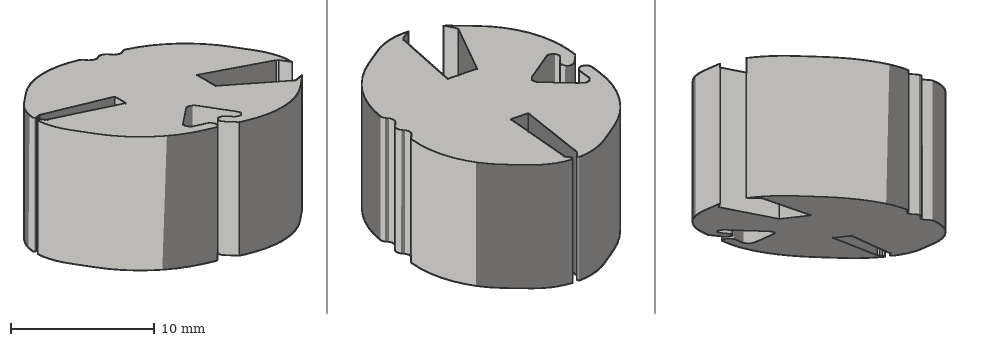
import cadquery as cq
import math

length = 20.98
width = 16.0
height = 10.0

side_radius = 8.25
side_center_y = 1.72
end_radius = 5.25

groove_pitch = 2.0
groove_depth = 0.493
groove_end_y = 1.93

wide_slot_floor_y = 3.55
wide_slot_floor_left = -1.22
wide_slot_floor_right = 1.25
wide_slot_left_lip = [(-0.71, 9.73), (-0.63, 9.9), (0.23, 10.5)]
wide_slot_right_lip = [(2.65, 9.8), (3.13, 9.08), (3.27, 8.8)]

narrow_slot_floor_y = -3.5
narrow_slot_floor_half = 0.73
narrow_slot_neck = [(0.52, -9.8), (0.45, -9.97), (0.3, -10.11), (0.2, -10.28)]
narrow_slot_mouth_round = 0.13

round_radius = 0.5
pocket_corner_x = width / 2 - 3 * round_radius
pocket_corner_y = 1.8
pocket_apex_radius = 0.57
pocket_wall_angle = 36.0
upper_lip_x = 6.95
upper_lip_y = 0.75
lower_lip_x = width / 2 - round_radius
lower_lip_y = -0.78

clearance = 1.05


def on_circle(center, radius, angle):
    """Point on a circle at an angle in degrees."""
    turn = math.radians(angle)
    return (center[0] + radius * math.cos(turn), center[1] + radius * math.sin(turn))


def add_arc(wire, center, radius, start, end):
    """Follow an arc from the current point, which lies at its start angle."""
    middle = on_circle(center, radius, (start + end) / 2)
    return wire.threePointArc(middle, on_circle(center, radius, end))


def add_line_and_arc(wire, center, radius, start, end):
    """Draw a line to the start of an arc, then follow the arc."""
    wire = wire.lineTo(*on_circle(center, radius, start))
    return add_arc(wire, center, radius, start, end)


def make_body():
    half_width = width / 2
    side_x = half_width - side_radius
    end_y = length / 2 - end_radius

    rise = end_y - side_center_y
    center_line = math.degrees(math.atan2(rise, -side_x))
    spread = math.acos((side_radius - end_radius) / math.hypot(side_x, rise))
    normal = center_line - math.degrees(spread)
    groove_angle = math.degrees(math.asin((groove_end_y - side_center_y) / side_radius))

    lower_left = (-side_x, -side_center_y)
    upper_left = (-side_x, side_center_y)
    lower_right = (side_x, -side_center_y)
    upper_right = (side_x, side_center_y)

    start = on_circle(lower_left, side_radius, 180 + groove_angle)
    wire = cq.Workplane("XY").moveTo(*start)
    wire = add_arc(wire, lower_left, side_radius, 180 + groove_angle, 180 + normal)
    wire = add_line_and_arc(wire, (0, -end_y), end_radius, 180 + normal, 360 - normal)
    wire = add_line_and_arc(wire, lower_right, side_radius, -normal, 0)
    wire = add_line_and_arc(wire, upper_right, side_radius, 0, normal)
    wire = add_line_and_arc(wire, (0, end_y), end_radius, normal, 180 - normal)
    wire = add_line_and_arc(wire, upper_left, side_radius, 180 - normal, 180 - groove_angle)

    quarter = groove_pitch / 4
    mid_x = -half_width + groove_depth / 2
    bottom_x = -half_width + groove_depth
    blend_radius = (quarter**2 + (groove_depth / 2) ** 2) / groove_depth
    wire = wire.radiusArc((mid_x, 3 * quarter), -blend_radius)
    wire = wire.threePointArc((bottom_x, 2 * quarter), (mid_x, quarter))
    wire = wire.threePointArc((-half_width, 0), (mid_x, -quarter))
    wire = wire.threePointArc((bottom_x, -2 * quarter), (mid_x, -3 * quarter))
    wire = wire.radiusArc(start, -blend_radius)
    return wire.close().extrude(height)


def make_wide_slot():
    outside_y = length / 2 + clearance
    points = [(wide_slot_floor_left, wide_slot_floor_y)]
    points += wide_slot_left_lip
    points += [(wide_slot_left_lip[-1][0], outside_y), (wide_slot_right_lip[0][0], outside_y)]
    points += wide_slot_right_lip
    points += [(wide_slot_floor_right, wide_slot_floor_y)]
    return cq.Workplane("XY").polyline(points).close().extrude(height)


def make_narrow_slot():
    mouth_half = narrow_slot_neck[-1][0]
    right = [(narrow_slot_floor_half, narrow_slot_floor_y)]
    right += narrow_slot_neck
    right += [(mouth_half, -length / 2 - clearance)]
    left = [(-x, y) for x, y in reversed(right)]
    return cq.Workplane("XY").polyline(right + left).close().extrude(height)


def make_clip_pocket():
    upper_corner = (pocket_corner_x, pocket_corner_y)
    lower_corner = (pocket_corner_x, -pocket_corner_y)
    upper_lip = (upper_lip_x, upper_lip_y)
    lower_lip = (lower_lip_x, lower_lip_y)
    wall_normal = 90 + pocket_wall_angle

    run = pocket_corner_x - upper_lip_x
    rise = pocket_corner_y - upper_lip_y
    crossing = math.degrees(math.asin(2 * round_radius / math.hypot(run, rise)))
    lip_normal = math.degrees(math.atan2(rise, run)) - crossing - 90

    wall = math.radians(pocket_wall_angle)
    wall_drop = pocket_corner_y - (pocket_apex_radius - round_radius) / math.cos(wall)
    apex = (pocket_corner_x - wall_drop / math.tan(wall), 0)

    lip_tip = on_circle(upper_lip, round_radius, lip_normal)
    outside_x = width / 2 + clearance
    lip_slope = math.tan(math.radians(lip_normal + 90))
    outside_y = lip_tip[1] + (outside_x - lip_tip[0]) * lip_slope

    wire = cq.Workplane("XY").moveTo(outside_x, outside_y)
    wire = add_line_and_arc(wire, upper_lip, round_radius, lip_normal, lip_normal - 180)
    wire = add_line_and_arc(wire, upper_corner, round_radius, lip_normal, wall_normal)
    wire = add_line_and_arc(wire, apex, pocket_apex_radius, wall_normal, 360 - wall_normal)
    wire = add_line_and_arc(wire, lower_corner, round_radius, -wall_normal, 0)
    wire = add_line_and_arc(wire, lower_lip, round_radius, 180, 0)
    wire = wire.lineTo(outside_x, lower_lip_y)
    return wire.close().extrude(height)


body = make_body().cut(make_wide_slot()).cut(make_narrow_slot())

mouth_half = narrow_slot_neck[-1][0]
search_margin = 0.02
mouth_corners = cq.selectors.BoxSelector(
    (-mouth_half - search_margin, -length / 2 - search_margin, 0),
    (mouth_half + search_margin, -length / 2 + search_margin, height),
)
body = body.edges("|Z").edges(mouth_corners).fillet(narrow_slot_mouth_round)

result = body.cut(make_clip_pocket())